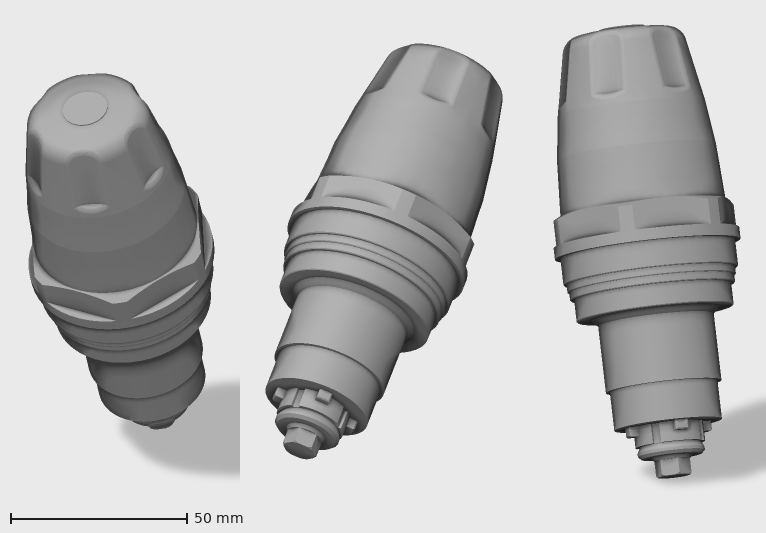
import cadquery as cq
import math

TILT = 20.0

HEX_TOP = 4.7
RING_BOTTOM = 5.7
RING_TOP = 9.0
SLEEVE_BOTTOM = 14.7
BARREL_BOTTOM = 25.7
BARREL_TOP = 44.8
FLANGE_BOTTOM = 46.5
STEP_HEIGHTS = [52.9, 55.1, 57.4]
COLLAR_BOTTOM = 65.0
FLAT_BOTTOM = 68.3
COLLAR_EDGE = 75.5
COLLAR_TOP = 77.0
CAP_BAND = 93.0
GRIP_BOTTOM = 105.5
CROWN_BOTTOM = 123.2
DOME_EDGE = 127.2
DOME_TOP = 128.4

HEX_RADIUS = 5.2
STEM_RADIUS = 5.9
RING_RADIUS = 9.6
NECK_RADIUS = 10.0
LUG_RADIUS = 12.5
SLEEVE_RADIUS = 15.4
BARREL_RADIUS = 16.5
SHOULDER_RADIUS = 18.4
STEP_RADII = [22.4, 23.5, 24.0, 24.9]
COLLAR_DIAMETER = 53.0
CAP_BASE_RADIUS = 23.5
CAP_BAND_RADIUS = 22.7
GRIP_BASE_RADIUS = 21.0
CROWN_RADIUS = 17.6
DOME_EDGE_RADIUS = 13.5

HEX_SIDES = 6
HEX_EDGE_CHAMFER = 0.5
RING_EDGE = 0.9
FLAT_COUNT = 6
FLAT_APOTHEM = 23.9
STEP_CHAMFER = 0.3
LUG_WIDTH = 3.9
LUG_HEIGHT = 2.8
LUG_CHAMFER = 0.4
SLOT_COUNT = 4
SLOT_START_ANGLE = 49.0
SLOT_WIDTH = 2.5
SLOT_FLOOR_RADIUS = 8.9
BUTTON_RADIUS = 6.4
BUTTON_RISE = 0.1
GRIP_COUNT = 6
GRIP_START_ANGLE = -6.5
GRIP_DEPTH = 1.5
GRIP_HOLLOW_RADIUS = 12.6
GRIP_FLOOR_BOTTOM = 108.9
GRIP_EDGE_FILLET = 1.9


def around(count, start_angle=0.0):
    return [start_angle + i * 360.0 / count for i in range(count)]


def turn(body, angle):
    return body.rotate((0, 0, 0), (0, 0, 1), angle)


def revolve_outline(points):
    """Solid of revolution about Z from (radius, height) points."""
    return cq.Workplane("XZ").polyline(points).close().revolve(360, (0, 0, 0), (0, 1, 0))


def make_cap():
    """Tapered cap with a rounded crown and a shallow dome."""
    dome_radius = (DOME_EDGE_RADIUS**2 + (DOME_TOP - DOME_EDGE)**2) / (2 * (DOME_TOP - DOME_EDGE))
    half_radius = DOME_EDGE_RADIUS / 2
    half_height = DOME_TOP - dome_radius + math.sqrt(dome_radius**2 - half_radius**2)
    return (
        cq.Workplane("XZ")
        .moveTo(0, COLLAR_BOTTOM)
        .lineTo(CAP_BASE_RADIUS, COLLAR_BOTTOM)
        .lineTo(CAP_BASE_RADIUS, COLLAR_TOP)
        .lineTo(CAP_BAND_RADIUS, CAP_BAND)
        .lineTo(GRIP_BASE_RADIUS, GRIP_BOTTOM)
        .lineTo(CROWN_RADIUS, CROWN_BOTTOM)
        .tangentArcPoint((DOME_EDGE_RADIUS, DOME_EDGE), relative=False)
        .threePointArc((half_radius, half_height), (0, DOME_TOP))
        .close()
        .revolve(360, (0, 0, 0), (0, 1, 0))
    )


def make_grip_cutter():
    """Round bar parallel to the cap side, with a 45 degree cone at its lower end."""
    lean = math.degrees(math.atan2(GRIP_BASE_RADIUS - CROWN_RADIUS, CROWN_BOTTOM - GRIP_BOTTOM))
    side_radius = GRIP_BASE_RADIUS - (GRIP_FLOOR_BOTTOM - GRIP_BOTTOM) * math.tan(math.radians(lean))
    floor_radius = side_radius - GRIP_DEPTH
    cone_height = GRIP_HOLLOW_RADIUS / 2
    bar_length = DOME_TOP - GRIP_FLOOR_BOTTOM + GRIP_DEPTH
    bar = revolve_outline([
        (0, -cone_height),
        (GRIP_HOLLOW_RADIUS - cone_height, -cone_height),
        (GRIP_HOLLOW_RADIUS, 0),
        (GRIP_HOLLOW_RADIUS, bar_length),
        (0, bar_length),
    ])
    bar = bar.translate((GRIP_HOLLOW_RADIUS, 0, 0)).rotate((0, 0, 0), (0, 1, 0), -lean)
    return bar.translate((floor_radius, 0, GRIP_FLOOR_BOTTOM))


def cut_grips(cap):
    """Cut each grip on the +X side, round its rim, then index the cap to the next one."""
    cutter = make_grip_cutter()
    pitch = 360.0 / GRIP_COUNT
    grip_zone = cq.selectors.BoxSelector(
        (CROWN_RADIUS / 2, -GRIP_HOLLOW_RADIUS, COLLAR_TOP),
        (GRIP_BASE_RADIUS, GRIP_HOLLOW_RADIUS, DOME_TOP),
    )
    cap = turn(cap, pitch / 2)
    for _ in range(GRIP_COUNT):
        cap = cap.cut(cutter)
        rim = cap.faces(grip_zone).edges("not %CIRCLE")
        cap = rim.fillet(GRIP_EDGE_FILLET)
        cap = turn(cap, pitch)
    return turn(cap, GRIP_START_ANGLE)


def make_collar():
    """Round collar with a conical top and six flats above a full rim."""
    radius = COLLAR_DIAMETER / 2
    collar = revolve_outline([
        (0, COLLAR_BOTTOM),
        (radius, COLLAR_BOTTOM),
        (radius, COLLAR_EDGE),
        (CAP_BASE_RADIUS, COLLAR_TOP),
        (0, COLLAR_TOP),
    ])
    flat_height = COLLAR_TOP - FLAT_BOTTOM
    flat_cutter = cq.Workplane("XY").box(radius, 2 * radius, flat_height, centered=(False, True, False))
    flat_cutter = flat_cutter.translate((FLAT_APOTHEM, 0, FLAT_BOTTOM))
    for angle in around(FLAT_COUNT, 90.0):
        collar = collar.cut(turn(flat_cutter, angle))
    return collar


def make_lower_body():
    """Stepped flange, barrel, sleeve, neck, ring and stem as one turned body."""
    outline = [
        (0, HEX_TOP),
        (HEX_RADIUS, HEX_TOP),
        (STEM_RADIUS, RING_BOTTOM),
        (RING_RADIUS - RING_EDGE, RING_BOTTOM),
        (RING_RADIUS, RING_BOTTOM + RING_EDGE),
        (RING_RADIUS, RING_BOTTOM + 2 * RING_EDGE),
        (RING_RADIUS - RING_EDGE, RING_TOP),
        (NECK_RADIUS, RING_TOP),
        (NECK_RADIUS, SLEEVE_BOTTOM),
        (SLEEVE_RADIUS, SLEEVE_BOTTOM),
        (SLEEVE_RADIUS, BARREL_BOTTOM),
        (BARREL_RADIUS, BARREL_BOTTOM),
        (BARREL_RADIUS, BARREL_TOP),
        (SHOULDER_RADIUS, FLANGE_BOTTOM),
    ]
    step_bottoms = [FLANGE_BOTTOM] + STEP_HEIGHTS
    step_tops = STEP_HEIGHTS + [COLLAR_BOTTOM]
    for radius, bottom, top in zip(STEP_RADII, step_bottoms, step_tops):
        outline += [(radius - STEP_CHAMFER, bottom), (radius, bottom + STEP_CHAMFER), (radius, top)]
    outline.append((0, COLLAR_BOTTOM))
    return revolve_outline(outline)


def cut_neck_slots(body):
    """Upright slots in the neck between the lugs."""
    slot_height = SLEEVE_BOTTOM - RING_TOP
    slot = cq.Workplane("XY").box(NECK_RADIUS, SLOT_WIDTH, slot_height, centered=(False, True, False))
    slot = slot.translate((SLOT_FLOOR_RADIUS, 0, RING_TOP))
    for angle in around(SLOT_COUNT, SLOT_START_ANGLE):
        body = body.cut(turn(slot, angle))
    return body


def add_lugs(body):
    """Four lugs under the sleeve, made by two crossed bars with round ends."""
    base = cq.Workplane("XY").workplane(offset=SLEEVE_BOTTOM - LUG_HEIGHT)
    disc = base.circle(LUG_RADIUS).extrude(LUG_HEIGHT)
    bar = base.rect(2 * LUG_RADIUS, LUG_WIDTH).extrude(LUG_HEIGHT).intersect(disc)
    bar = bar.faces("%CYLINDER").edges("not >Z").chamfer(LUG_CHAMFER)
    return body.union(bar).union(turn(bar, 90.0))


def make_hex_tip():
    """Hexagonal tip with corners on the Y side and a chamfered end."""
    tip = cq.Workplane("XY").polygon(HEX_SIDES, 2 * HEX_RADIUS).extrude(HEX_TOP)
    blank = cq.Workplane("XY").circle(HEX_RADIUS).extrude(HEX_TOP).faces("<Z").chamfer(HEX_EDGE_CHAMFER)
    return turn(tip.intersect(blank), 90.0)


cap = cut_grips(make_cap())
button = cq.Workplane("XY").workplane(offset=DOME_EDGE).circle(BUTTON_RADIUS)
button = button.extrude(DOME_TOP + BUTTON_RISE - DOME_EDGE)
lower_body = add_lugs(cut_neck_slots(make_lower_body()))

upright = cap.union(button).union(make_collar()).union(lower_body).union(make_hex_tip())
result = upright.rotate((0, 0, 0), (1, 0, 0), TILT)